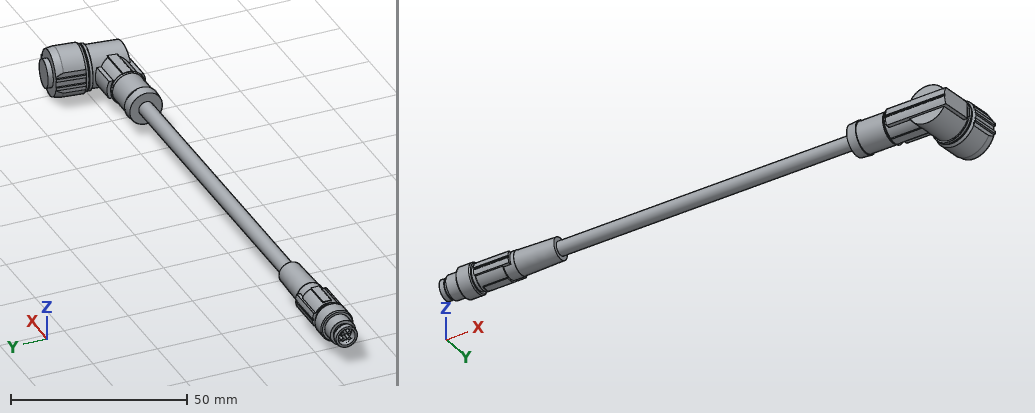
import cadquery as cq

CABLE_DIAMETER = 4.5

TIP_DIAMETER = 6.6
TIP_END = 1.5
GROOVE_DIAMETER = 6.0
GROOVE_END = 2.6
NOSE_DIAMETER = 7.9
NOSE_END = 6.5
COLLAR_DIAMETER = 10.0
COLLAR_END = 11.4
COLLAR_CHAMFER = 0.3
PLUG_NECK_DIAMETER = 8.0
PLUG_NECK_END = 12.6
PLUG_GRIP_DIAMETER = 9.0
PLUG_GRIP_END = 21.9
PLUG_BODY_END = 25.5
SLEEVE_START_DIAMETER = 7.9
SLEEVE_END_DIAMETER = 7.2
SLEEVE_END = 38.8
SOCKET_DIAMETER = 5.2
SOCKET_DEPTH = 2.6
PIN_COUNT = 4
PIN_DIAMETER = 0.9
PIN_CIRCLE_DIAMETER = 2.8
PIN_RECESS = 0.5

PLUG_SIDE_RIB_END = 24.3
PLUG_SIDE_RIB_WIDTH = 4.0
PLUG_FLAT_RIB_START = 13.5
PLUG_FLAT_RIB_WIDTH = 2.6
PLUG_FLAT_RIB_SPAN = 9.3

BODY_START = 138.4
BODY_START_DIAMETER = 10.1
BODY_DIAMETER = 10.0
RING_DIAMETER = 10.7
REAR_RING = 141.5
FRONT_RING = 151.0
FRONT_RING_WIDTH = 0.5
WAIST_DIAMETER = 9.8
BODY_SIDE_RIB_START = 152.0
BODY_SIDE_RIB_DIAMETER = 12.0
BODY_SIDE_RIB_WIDTH = 5.6
BODY_FLAT_RIB_WIDTH = 3.0
BODY_FLAT_RIB_SPAN = 10.1

RIB_GROOVE_WIDTH = 0.5
RIB_GROOVE_DEPTH = 0.3

HEAD_X = 165.7
HEAD_TILT = 7
HEAD_DIAMETER = 12.8
HEAD_BOTTOM_Y = -4.5
HEAD_RIB_REACH = 7.0
HEAD_RIB_TOP = 4.9
HEAD_COLLAR_DIAMETER = 13.8
HEAD_COLLAR_START = 6.1
HEAD_GROOVE_START = 7.0
HEAD_GROOVE_END = 7.3
NUT_START = 8.2
NUT_DIAMETER = 14.9
NUT_STEP = 14.9
NUT_TOP_DIAMETER = 14.0
NUT_END = 17.1
INSERT_DIAMETER = 8.5
INSERT_END = 18.7

NUT_WIDTH_OVER_FLATS = 13.3
NUT_WIDTH_OVER_BARS = 14.5
NUT_BAR_WIDTH = 0.9
NUT_BAR_SPACING = 2.8

CUT_SIZE = 52.5


def cylinder_along_x(diameter, start, end):
    return cq.Workplane("YZ", origin=(start, 0, 0)).circle(diameter / 2).extrude(end - start)


def box_along_x(start, end, width_y, width_z):
    return cq.Workplane("YZ", origin=(start, 0, 0)).rect(width_y, width_z).extrude(end - start)


def turned_along_x(stations):
    """Solid of revolution about X through (position, diameter) stations."""
    outline = [(x, diameter / 2) for x, diameter in stations]
    outline = [(stations[0][0], 0)] + outline + [(stations[-1][0], 0)]
    return cq.Workplane("XY").polyline(outline).close().revolve(360, (0, 0, 0), (1, 0, 0))


def turned_along_y(stations):
    """Solid of revolution about Y through (position, diameter) stations."""
    return turned_along_x(stations).rotate((0, 0, 0), (0, 0, 1), 90)


def side_ribs(diameter, start, end, width):
    """Ribs at +Y and -Y whose outer faces lie on a cylinder about the cable."""
    return cylinder_along_x(diameter, start, end).intersect(box_along_x(start, end, diameter, width))


def cut_rib_grooves(body, rib_diameter, start, end, sides):
    """Cut the fine groove along the middle of the side ribs named by their Y signs."""
    for side in sides:
        groove = box_along_x(start, end, 2 * RIB_GROOVE_DEPTH, RIB_GROOVE_WIDTH)
        body = body.cut(groove.translate((0, side * rib_diameter / 2, 0)))
    return body


def make_male_plug():
    collar_edge_diameter = COLLAR_DIAMETER - 2 * COLLAR_CHAMFER
    plug = turned_along_x([
        (0, TIP_DIAMETER),
        (TIP_END, TIP_DIAMETER),
        (TIP_END, GROOVE_DIAMETER),
        (GROOVE_END, GROOVE_DIAMETER),
        (GROOVE_END, NOSE_DIAMETER),
        (NOSE_END, NOSE_DIAMETER),
        (NOSE_END, collar_edge_diameter),
        (NOSE_END + COLLAR_CHAMFER, COLLAR_DIAMETER),
        (COLLAR_END - COLLAR_CHAMFER, COLLAR_DIAMETER),
        (COLLAR_END, collar_edge_diameter),
        (COLLAR_END, PLUG_NECK_DIAMETER),
        (PLUG_NECK_END, PLUG_NECK_DIAMETER),
        (PLUG_NECK_END, PLUG_GRIP_DIAMETER),
        (PLUG_GRIP_END, PLUG_GRIP_DIAMETER),
        (PLUG_GRIP_END, PLUG_NECK_DIAMETER),
        (PLUG_BODY_END, PLUG_NECK_DIAMETER),
        (PLUG_BODY_END, SLEEVE_START_DIAMETER),
        (SLEEVE_END, SLEEVE_END_DIAMETER),
    ])
    plug = plug.union(side_ribs(COLLAR_DIAMETER, PLUG_NECK_END, PLUG_SIDE_RIB_END, PLUG_SIDE_RIB_WIDTH))
    flat_ribs = box_along_x(PLUG_FLAT_RIB_START, PLUG_GRIP_END, PLUG_FLAT_RIB_WIDTH, PLUG_FLAT_RIB_SPAN)
    plug = plug.union(flat_ribs)
    plug = cut_rib_grooves(plug, COLLAR_DIAMETER, PLUG_NECK_END, PLUG_SIDE_RIB_END, (-1, 1))
    return plug.cut(cylinder_along_x(SOCKET_DIAMETER, 0, SOCKET_DEPTH)).union(make_contact_pins())


def make_contact_pins():
    """Pins standing in the socket of the male plug, rooted one socket depth below its floor."""
    return (
        cq.Workplane("YZ", origin=(PIN_RECESS, 0, 0))
        .polarArray(PIN_CIRCLE_DIAMETER / 2, 180 / PIN_COUNT, 360, PIN_COUNT)
        .circle(PIN_DIAMETER / 2)
        .extrude(2 * SOCKET_DEPTH - PIN_RECESS)
    )


def make_angled_body():
    front_ring_start = FRONT_RING - FRONT_RING_WIDTH
    body = turned_along_x([
        (BODY_START, BODY_START_DIAMETER),
        (REAR_RING, RING_DIAMETER),
        (REAR_RING, BODY_DIAMETER),
        (front_ring_start, BODY_DIAMETER),
        (FRONT_RING, RING_DIAMETER),
        (FRONT_RING, WAIST_DIAMETER),
        (HEAD_X, WAIST_DIAMETER),
    ])
    ribs = side_ribs(BODY_SIDE_RIB_DIAMETER, BODY_SIDE_RIB_START, HEAD_X, BODY_SIDE_RIB_WIDTH)
    flat_ribs = box_along_x(FRONT_RING, HEAD_X, BODY_FLAT_RIB_WIDTH, BODY_FLAT_RIB_SPAN)
    return body.union(ribs).union(flat_ribs)


def tilt_into_place(shape):
    return shape.rotate((0, 0, 0), (0, 0, 1), -HEAD_TILT).translate((HEAD_X, 0, 0))


def shape_nut_grip(head, side):
    """Flatten one side of the nut, leaving two grip bars standing on the flat."""
    length = NUT_END - NUT_START
    middle = (NUT_START + NUT_END) / 2
    flat_x = NUT_WIDTH_OVER_FLATS / 2
    waste = cq.Workplane("XY").box(NUT_DIAMETER, length, NUT_DIAMETER)
    head = head.cut(waste.translate((side * (flat_x + NUT_DIAMETER / 2), middle, 0)))

    bar_depth = NUT_WIDTH_OVER_BARS - NUT_WIDTH_OVER_FLATS
    for bar_side in (-1, 1):
        bar = cq.Workplane("XY").box(bar_depth, length, NUT_BAR_WIDTH)
        head = head.union(bar.translate((side * flat_x, middle, bar_side * NUT_BAR_SPACING / 2)))
    return head


def make_head():
    foot = HEAD_BOTTOM_Y - HEAD_DIAMETER / 2
    head = turned_along_y([
        (foot, HEAD_DIAMETER),
        (HEAD_COLLAR_START, HEAD_DIAMETER),
        (HEAD_COLLAR_START, HEAD_COLLAR_DIAMETER),
        (HEAD_GROOVE_START, HEAD_COLLAR_DIAMETER),
        (HEAD_GROOVE_START, HEAD_DIAMETER),
        (HEAD_GROOVE_END, HEAD_DIAMETER),
        (HEAD_GROOVE_END, HEAD_COLLAR_DIAMETER),
        (NUT_START, NUT_DIAMETER),
        (NUT_STEP, NUT_DIAMETER),
        (NUT_END, NUT_TOP_DIAMETER),
        (NUT_END, INSERT_DIAMETER),
        (INSERT_END, INSERT_DIAMETER),
    ])
    for side in (-1, 1):
        head = shape_nut_grip(head, side)
    below_head = cq.Workplane("XY").box(CUT_SIZE, CUT_SIZE, CUT_SIZE)
    below_head = below_head.translate((HEAD_X, HEAD_BOTTOM_Y - CUT_SIZE / 2, 0))
    return tilt_into_place(head).cut(below_head)


def make_head_rib():
    """Carry the -Y side rib on under the head and up its +X side."""
    bottom = -BODY_SIDE_RIB_DIAMETER
    rib = cq.Workplane("XY").box(
        HEAD_RIB_REACH, HEAD_RIB_TOP - bottom, BODY_SIDE_RIB_WIDTH, centered=(False, False, True)
    )
    rib = tilt_into_place(rib.translate((0, bottom, 0)))
    envelope = cylinder_along_x(BODY_SIDE_RIB_DIAMETER, HEAD_X - CUT_SIZE / 2, HEAD_X + CUT_SIZE / 2)
    return rib.intersect(envelope)


def make_angled_plug():
    plug = make_angled_body().union(make_head()).union(make_head_rib())
    groove_end = HEAD_X + HEAD_DIAMETER / 2
    return cut_rib_grooves(plug, BODY_SIDE_RIB_DIAMETER, BODY_SIDE_RIB_START, groove_end, (-1,))


cable = cylinder_along_x(CABLE_DIAMETER, PLUG_BODY_END, HEAD_X)
result = cable.union(make_male_plug()).union(make_angled_plug())